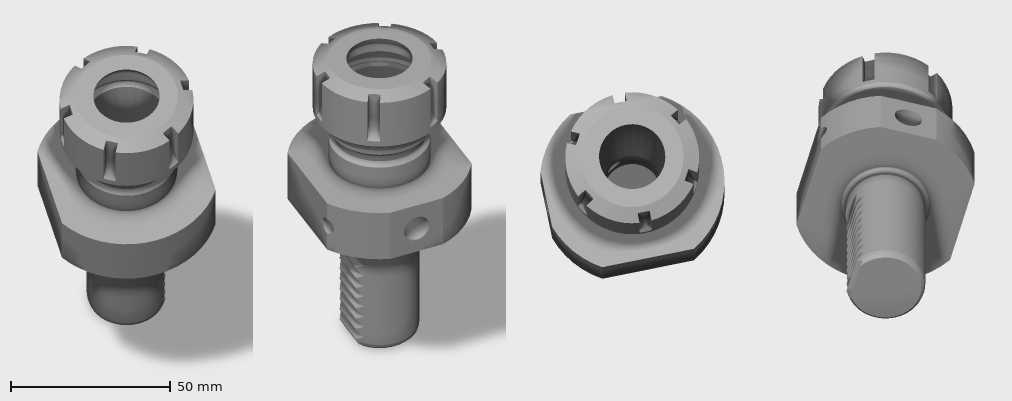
import cadquery as cq
import math

total_height = 105.0

shank_radius = 12.5
shank_end_chamfer = 0.9
shank_lead_height = 1.3
shank_top_taper_height = 2.2
taper_angle = math.radians(15)

serration_flat_y = 11.0
serration_flat_top = 41.1
tooth_root_y = 9.3
tooth_half_width = 1.8
tooth_pitch = 4.0
tooth_count = 10
lowest_root_z = 0.5

flange_bottom = 48.0
flange_top = 66.0
flange_radius = 29.0
flange_flat_x = -27.5
flange_flat_y = 25.0
flange_middle = (flange_bottom + flange_top) / 2

large_hole_radius = 4.4
small_hole_radius = 2.7
large_hole_angle = 180
small_hole_angle = 120

neck_radius = 16.0
groove_radius = 14.5
groove_bottom = 75.6
groove_top = 77.7
groove_chamfer = neck_radius - groove_radius
neck_end_chamfer = 0.7
holder_top = 92.4

seat_mouth_radius = 13.0
seat_floor_radius = 8.9
seat_angle = math.radians(8)
seat_height = (seat_mouth_radius - seat_floor_radius) / math.tan(seat_angle)
bore_floor = 50.0

ring_wire_radius = 1.4
ring_centre_radius = 12.7

nut_radius = 21.0
nut_bottom = 85.0
nut_bottom_chamfer = 1.0
nut_rim_radius = 16.2
nut_top_slope = math.radians(20)
nut_corner_z = total_height - (nut_radius - nut_rim_radius) * math.tan(nut_top_slope)
nut_relief_radius = 16.8
nut_relief_bottom = 92.9
nut_entry_chamfer = nut_relief_radius - neck_radius

slot_count = 6
first_slot_angle = 90
slot_width = 3.9
slot_floor_radius = 18.0
slot_straight_bottom = 95.1
slot_cutter_radius = 9.6

disc_radius = 16.0
disc_bottom = 98.7
disc_opening_radius = 10.4
disc_bore_radius = 12.3
disc_cone_angle = math.radians(30)
disc_cone_height = (disc_bore_radius - disc_opening_radius) / math.tan(disc_cone_angle)


def turned(profile):
    """Solid of revolution about Z from a closed profile of (radius, z) points."""
    return cq.Workplane("XZ").polyline(profile).close().revolve(360, (0, 0), (0, 1))


def make_o_ring():
    return (
        cq.Workplane("XZ")
        .center(ring_centre_radius, flange_bottom)
        .circle(ring_wire_radius)
        .revolve(360, (-ring_centre_radius, 0), (-ring_centre_radius, 1))
    )


def make_shank():
    lead_radius = shank_radius - shank_lead_height * math.tan(taper_angle)
    top_radius = shank_radius - shank_top_taper_height * math.tan(taper_angle)
    return turned([
        (0, 0),
        (lead_radius - shank_end_chamfer, 0),
        (lead_radius, shank_end_chamfer),
        (shank_radius, shank_end_chamfer + shank_lead_height),
        (shank_radius, flange_bottom - shank_top_taper_height),
        (top_radius, flange_bottom),
        (0, flange_bottom),
    ])


def make_serration_cut():
    """Flat on the +Y side of the shank with V grooves across it."""
    cut = (
        cq.Workplane("YZ")
        .moveTo(serration_flat_y, 0)
        .lineTo(shank_radius, 0)
        .lineTo(shank_radius, serration_flat_top)
        .lineTo(serration_flat_y, serration_flat_top)
        .close()
        .extrude(shank_radius, both=True)
    )
    for i in range(tooth_count):
        root_z = lowest_root_z + i * tooth_pitch
        v_groove = (
            cq.Workplane("YZ")
            .moveTo(tooth_root_y, root_z)
            .lineTo(serration_flat_y, root_z + tooth_half_width)
            .lineTo(serration_flat_y, root_z - tooth_half_width)
            .close()
            .extrude(shank_radius, both=True)
        )
        cut = cut.union(v_groove)
    return cut


def make_flange():
    height = flange_top - flange_bottom
    trim = cq.Workplane("XY").box(
        flange_radius - flange_flat_x, 2 * flange_flat_y, height, centered=(False, True, False)
    )
    disc = cq.Workplane("XY").circle(flange_radius).extrude(height)
    return disc.intersect(trim.translate((flange_flat_x, 0, 0))).translate((0, 0, flange_bottom))


def make_neck():
    return turned([
        (0, flange_top),
        (neck_radius, flange_top),
        (neck_radius, groove_bottom - groove_chamfer),
        (groove_radius, groove_bottom),
        (groove_radius, groove_top),
        (neck_radius, groove_top + groove_chamfer),
        (neck_radius, holder_top - neck_end_chamfer),
        (neck_radius - neck_end_chamfer, holder_top),
        (0, holder_top),
    ])


def make_collet_seat():
    """Taper from the mouth of the holder, then a straight bore to its floor."""
    return turned([
        (0, bore_floor),
        (seat_floor_radius, bore_floor),
        (seat_floor_radius, holder_top - seat_height),
        (seat_mouth_radius, holder_top),
        (0, holder_top),
    ])


def make_cross_hole(radius, angle):
    """Radial hole from the axis outward, `angle` degrees round from +X."""
    hole = cq.Workplane("YZ").center(0, flange_middle).circle(radius).extrude(flange_radius)
    return hole.rotate((0, 0, 0), (0, 0, 1), angle)


def make_holder():
    body = make_shank().cut(make_serration_cut()).union(make_flange()).union(make_neck())
    body = body.cut(make_collet_seat())
    body = body.cut(make_cross_hole(large_hole_radius, large_hole_angle))
    body = body.cut(make_cross_hole(small_hole_radius, small_hole_angle))
    return body.cut(make_o_ring())


def make_spanner_slots():
    """Slots open at the top whose floor sweeps outward along the cutter at the lower end."""
    beyond_nut = slot_floor_radius + slot_cutter_radius
    slot = (
        cq.Workplane("XZ")
        .moveTo(slot_floor_radius, total_height)
        .lineTo(slot_floor_radius, slot_straight_bottom)
        .radiusArc((beyond_nut, slot_straight_bottom - slot_cutter_radius), -slot_cutter_radius)
        .lineTo(beyond_nut, total_height)
        .close()
        .extrude(slot_width / 2, both=True)
    )
    step = 360 / slot_count
    return [slot.rotate((0, 0, 0), (0, 0, 1), first_slot_angle + i * step) for i in range(slot_count)]


def make_nut():
    nut = turned([
        (neck_radius, nut_bottom),
        (nut_radius - nut_bottom_chamfer, nut_bottom),
        (nut_radius, nut_bottom + nut_bottom_chamfer),
        (nut_radius, nut_corner_z),
        (nut_rim_radius, total_height),
        (disc_radius, total_height),
        (disc_radius, disc_bottom),
        (nut_relief_radius, disc_bottom),
        (nut_relief_radius, nut_relief_bottom),
        (neck_radius, nut_relief_bottom - nut_entry_chamfer),
    ])
    for slot in make_spanner_slots():
        nut = nut.cut(slot)
    return nut


def make_front_disc():
    return turned([
        (disc_opening_radius, total_height),
        (disc_radius, total_height),
        (disc_radius, disc_bottom),
        (disc_bore_radius, disc_bottom),
        (disc_bore_radius, total_height - disc_cone_height),
    ])


holder = make_holder()
nut = make_nut()
front_disc = make_front_disc()
o_ring = make_o_ring()

result = cq.Compound.makeCompound([holder.val(), nut.val(), front_disc.val(), o_ring.val()])